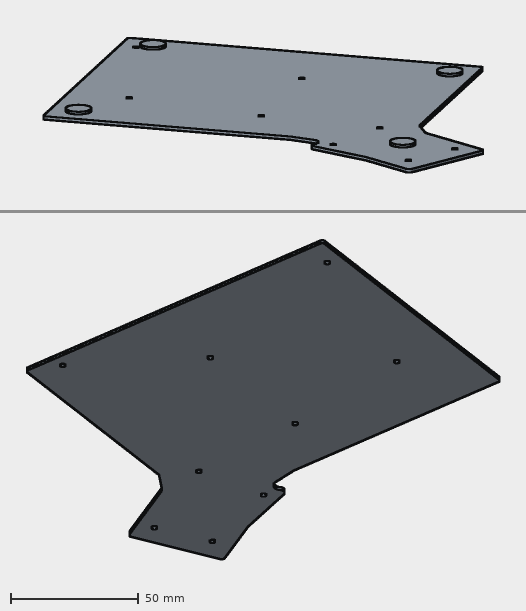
import cadquery as cq
import math

plate_thickness = 1.5
foot_height = 1.0

main_width = 145.9
main_depth = 117.1
main_corner_radius = 1.0

arm_angle = math.radians(30)
arm_width = 40.8
arm_corner_radius = 1.5
arm_tip = (180.5, 3.5)
arm_upper_length = 33.8
arm_lower_length = 24.5

neck_start_y = 29.5
neck_fillet = 3.6

notch_slope_start = (101.6, 0)
notch_top = (112.2, -2.0)
notch_deepest = (114.5, -4.7)
notch_bottom = (113.9, -7.2)
nub_middle = (113.1, -8.6)
nub_end = (114.0, -10.5)

hole_diameter = 2.2
hole_positions = [
    (6.8, 105.0), (131.9, 111.5), (82.2, 81.0),
    (25.0, 34.9), (82.2, 25.2), (131.9, 22.0),
    (168.7, 1.8), (121.0, -6.1), (156.0, -19.2),
]

foot_diameter = 10.0
foot_positions = [(13.0, 108.1), (135.8, 105.0), (11.3, 11.2), (147.1, 2.5)]


def along_arm(start, length):
    """Point at a signed distance from start, towards the arm's end."""
    return (start[0] + length * math.cos(arm_angle), start[1] - length * math.sin(arm_angle))


def across_arm(start, length):
    """Point at a distance from start, square to the arm and downwards."""
    return (start[0] - length * math.sin(arm_angle), start[1] - length * math.cos(arm_angle))


arm_lower_tip = across_arm(arm_tip, arm_width)
neck_end = along_arm(arm_tip, -arm_upper_length)
arm_lower_start = along_arm(arm_lower_tip, -arm_lower_length)


def fillet_corners(body, corners, radius):
    """Round the upright edges that stand at the given outline corners."""
    for x, y in corners:
        edge = cq.selectors.NearestToPointSelector((x, y, plate_thickness / 2))
        body = body.edges("|Z").edges(edge).fillet(radius)
    return body


def make_plate():
    body = (
        cq.Workplane("XY")
        .moveTo(0, 0)
        .lineTo(0, main_depth)
        .lineTo(main_width, main_depth)
        .lineTo(main_width, neck_start_y)
        .lineTo(*neck_end)
        .lineTo(*arm_tip)
        .lineTo(*arm_lower_tip)
        .lineTo(*arm_lower_start)
        .lineTo(*nub_end)
        .threePointArc(nub_middle, notch_bottom)
        .threePointArc(notch_deepest, notch_top)
        .lineTo(*notch_slope_start)
        .close()
        .extrude(plate_thickness)
    )
    main_corners = [(0, 0), (0, main_depth), (main_width, main_depth)]
    body = fillet_corners(body, main_corners, main_corner_radius)
    body = fillet_corners(body, [arm_tip, arm_lower_tip], arm_corner_radius)
    return fillet_corners(body, [neck_end], neck_fillet)


def make_feet():
    return (
        cq.Workplane("XY")
        .workplane(offset=plate_thickness)
        .pushPoints(foot_positions)
        .circle(foot_diameter / 2)
        .extrude(foot_height)
    )


def make_holes():
    return (
        cq.Workplane("XY")
        .pushPoints(hole_positions)
        .circle(hole_diameter / 2)
        .extrude(plate_thickness)
    )


result = make_plate().cut(make_holes()).union(make_feet())